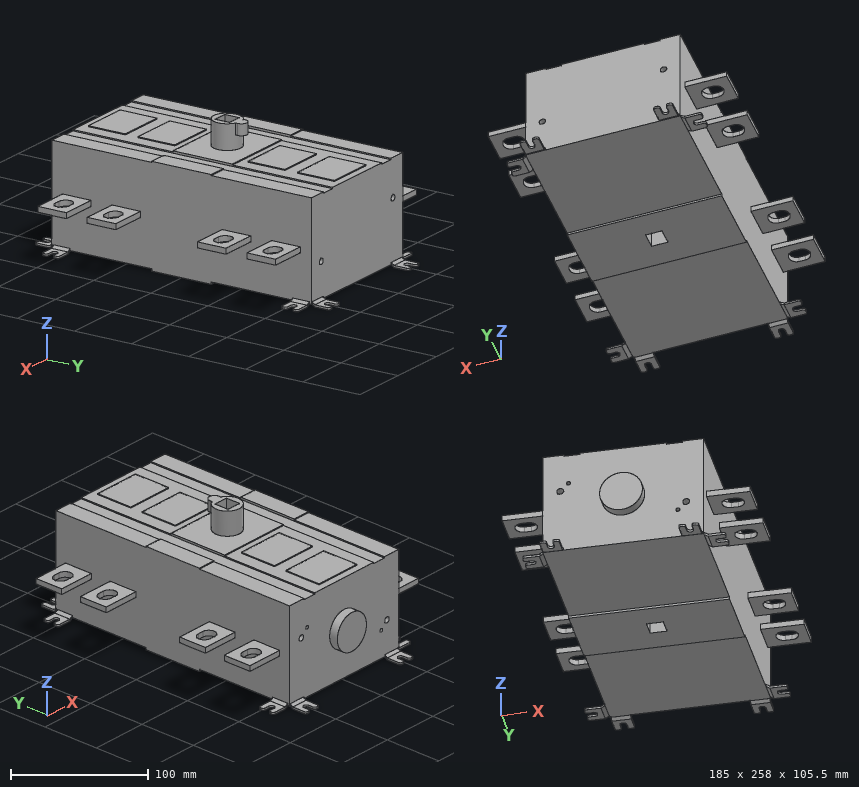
import cadquery as cq

body_width = 120.0
body_length = 227.5
body_bottom = 1.8
body_top = 84.0
middle_length = 52.0
raised_step = 0.8
middle_bottom = 0.0
middle_top = body_top + raised_step
mid_height = 42.0

groove_inner = 32.2
groove_outer = 44.0
groove_floor = 83.0

station_inner = 48.2
station_outer = 91.5
stations = [-station_outer, -station_inner, station_inner, station_outer]
label_width = 41.5
label_length = 32.2

terminal_span = 185.0
terminal_width = 25.0
terminal_thickness = 4.6
terminal_slot_x = 77.1
terminal_slot_length = 16.5
terminal_slot_width = 11.5

shaft_diameter = 23.5
shaft_top = 105.5
shaft_square = 12.6
pointer_reach = 17.3
pointer_width = 9.8
pointer_height = 9.3

boss_diameter = 32.0
boss_height = 7.5
through_hole_diameter = 5.0
through_hole_x = 47.0
through_hole_rise = 10.8
blind_hole_diameter = 2.8
blind_hole_depth = 5.2
blind_hole_x = 40.8
blind_hole_rise = 17.0

foot_thickness = 1.8
foot_raise = body_bottom
foot_width = 14.7
foot_slot_width = 5.0
foot_slot_depth = 8.5
foot_flat_length = 12.6
foot_tip_radius = 1.8
foot_embed = 2.5
end_foot_x = 51.9
end_foot_reach = 129.0
side_foot_y = 104.7
side_foot_reach = 75.5


def block(width, length, bottom, top):
    """Box centred on the Z axis between two heights."""
    return cq.Workplane("XY").workplane(offset=bottom).rect(width, length).extrude(top - bottom)


def make_housing():
    housing = block(body_width, body_length, body_bottom, body_top)
    housing = housing.union(block(body_width, middle_length, middle_bottom, middle_top))
    groove_width = groove_outer - groove_inner
    groove_x = (groove_outer + groove_inner) / 2
    groove = block(groove_width, body_length, groove_floor, middle_top)
    for side in (-1, 1):
        housing = housing.cut(groove.translate((side * groove_x, 0, 0)))
    label = block(label_width, label_length, groove_floor, middle_top)
    for y in stations:
        housing = housing.union(label.translate((0, y, 0)))
    return housing


def make_terminal_bar():
    """Flat bar across the housing whose two ends are slotted terminals."""
    bottom = mid_height - terminal_thickness / 2
    bar = block(terminal_span, terminal_width, bottom, bottom + terminal_thickness)
    return (
        bar.faces(">Z").workplane(origin=(0, 0, 0))
        .pushPoints([(-terminal_slot_x, 0), (terminal_slot_x, 0)])
        .slot2D(terminal_slot_length, terminal_slot_width)
        .cutThruAll()
    )


def make_shaft():
    shaft = cq.Workplane("XY").workplane(offset=groove_floor).circle(shaft_diameter / 2)
    shaft = shaft.extrude(shaft_top - groove_floor)
    pointer_radius = pointer_width / 2
    round_start = pointer_reach - pointer_radius
    pointer = (
        cq.Workplane("XY").workplane(offset=shaft_top - pointer_height)
        .moveTo(-pointer_radius, 0)
        .lineTo(-pointer_radius, round_start)
        .threePointArc((0, pointer_reach), (pointer_radius, round_start))
        .lineTo(pointer_radius, 0)
        .close()
        .extrude(pointer_height)
    )
    return shaft.union(pointer)


def make_foot(reach, wall):
    """Foot pointing along +X from a wall at x = wall to a tip at x = reach."""
    flat_start = reach - foot_flat_length
    root = wall - foot_embed
    foot = (
        cq.Workplane("XZ")
        .polyline([
            (root, foot_raise),
            (wall, foot_raise),
            (flat_start, 0),
            (reach, 0),
            (reach, foot_thickness),
            (flat_start, foot_thickness),
            (wall, foot_raise + foot_thickness),
            (root, foot_raise + foot_thickness),
        ])
        .close()
        .extrude(foot_width / 2, both=True)
    )
    slot = (
        cq.Workplane("XY").center(reach, 0)
        .slot2D(2 * foot_slot_depth, foot_slot_width)
        .extrude(foot_thickness)
    )
    return foot.cut(slot).faces(">X").edges("|Z").fillet(foot_tip_radius)


def end_face_points(x, rise):
    """Two points on the end face, opposite each other about its centre."""
    return [(-x, mid_height + rise), (x, mid_height - rise)]


def end_face():
    """Workplane on the -Y end wall; negative extrusion goes into the housing."""
    return cq.Workplane("XZ", origin=(0, -body_length / 2, 0))


result = make_housing().union(make_shaft())
terminal_bar = make_terminal_bar()
for y in stations:
    result = result.union(terminal_bar.translate((0, y, 0)))

boss = end_face().center(0, mid_height).circle(boss_diameter / 2).extrude(boss_height)
result = result.union(boss)

end_foot = make_foot(end_foot_reach, body_length / 2)
side_foot = make_foot(side_foot_reach, body_width / 2)
for turn in (0, 180):
    for side in (-1, 1):
        placed_end_foot = end_foot.translate((0, side * end_foot_x, 0))
        placed_side_foot = side_foot.translate((0, side * side_foot_y, 0))
        result = result.union(placed_end_foot.rotate((0, 0, 0), (0, 0, 1), turn + 90))
        result = result.union(placed_side_foot.rotate((0, 0, 0), (0, 0, 1), turn))

result = result.cut(block(shaft_square, shaft_square, middle_bottom, shaft_top))
through_holes = (
    end_face()
    .pushPoints(end_face_points(through_hole_x, through_hole_rise))
    .circle(through_hole_diameter / 2)
    .extrude(-body_length)
)
blind_holes = (
    end_face()
    .pushPoints(end_face_points(blind_hole_x, blind_hole_rise))
    .circle(blind_hole_diameter / 2)
    .extrude(-blind_hole_depth)
)
result = result.cut(through_holes).cut(blind_holes)